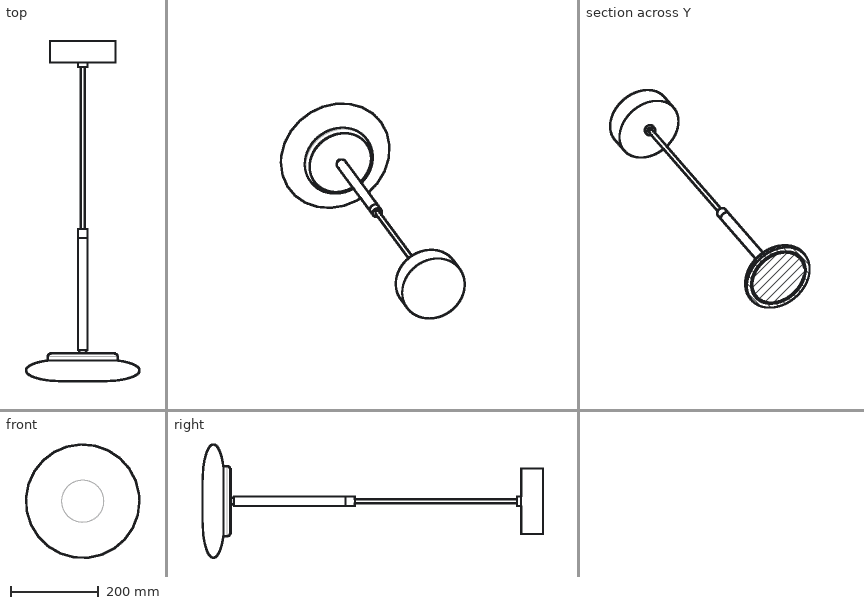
import cadquery as cq

overall_length = 778.21

canopy_diameter = 150.0
canopy_depth = 50.0

sleeve_diameter = 22.45
ferrule_length = 10.0
rod_diameter = 10.0
rod_length = 370.0
connector_length = 21.0
tube_length = 255.5

neck_small_diameter = 15.0
neck_large_diameter = 17.65
neck_cylinder_length = 2.0
neck_cone_length = 4.5

cap_plate_diameter = 147.0
cap_plate_thickness = 2.0
collar_diameter = 160.49
collar_fillet = (collar_diameter - cap_plate_diameter) / 2

shade_diameter = 260.0
shade_flat_diameter = 96.3
shade_thickness = 50.0
shade_flat_radius = shade_flat_diameter / 2
ellipse_reach = shade_diameter / 2 - shade_flat_radius
ellipse_height = shade_thickness / 2

ferrule_start = canopy_depth
rod_start = ferrule_start + ferrule_length
connector_start = rod_start + rod_length
tube_start = connector_start + connector_length
neck_start = tube_start + tube_length
cap_plate_start = neck_start + neck_cylinder_length + neck_cone_length
collar_start = cap_plate_start + cap_plate_thickness
shade_middle = overall_length - shade_thickness / 2


def round_bar(start, length, diameter):
    """Cylinder on the lamp axis, running along -Y from the given distance."""
    return cq.Workplane("XZ", origin=(0, -start, 0)).circle(diameter / 2).extrude(length)


def make_neck():
    """Half profile in the XY plane, revolved about the Y axis."""
    cone_start = neck_start + neck_cylinder_length
    return (
        cq.Workplane("XY")
        .moveTo(0, -neck_start)
        .lineTo(neck_small_diameter / 2, -neck_start)
        .lineTo(neck_small_diameter / 2, -cone_start)
        .lineTo(neck_large_diameter / 2, -cap_plate_start)
        .lineTo(0, -cap_plate_start)
        .close()
        .revolve(360, (0, 0, 0), (0, 1, 0))
    )


def make_shade():
    """Half profile centred on the rim's ellipse, revolved about the Y axis."""
    return (
        cq.Workplane("XY", origin=(shade_flat_radius, -shade_middle, 0))
        .ellipseArc(ellipse_reach, ellipse_height, -90, 90, startAtCurrent=False)
        .lineTo(-shade_flat_radius, ellipse_height)
        .lineTo(-shade_flat_radius, -ellipse_height)
        .close()
        .revolve(360, (-shade_flat_radius, 0, 0), (-shade_flat_radius, 1, 0))
    )


def make_collar(shade_body):
    """Filleted disc whose underside is cut to sit on the curved back of the shade."""
    blank = round_bar(collar_start, shade_middle - collar_start, collar_diameter)
    return blank.faces(">Y").edges().fillet(collar_fillet).cut(shade_body)


canopy = round_bar(0, canopy_depth, canopy_diameter)
ferrule = round_bar(ferrule_start, ferrule_length, sleeve_diameter)
rod = round_bar(rod_start, rod_length, rod_diameter)
connector = round_bar(connector_start, connector_length, sleeve_diameter)
tube = round_bar(tube_start, tube_length, sleeve_diameter)
neck = make_neck()
cap_plate = round_bar(cap_plate_start, cap_plate_thickness, cap_plate_diameter)
shade = make_shade()
collar = make_collar(shade)

bodies = [canopy, ferrule, rod, connector, tube, neck, cap_plate, collar, shade]
result = cq.Compound.makeCompound([body.solids().val() for body in bodies])